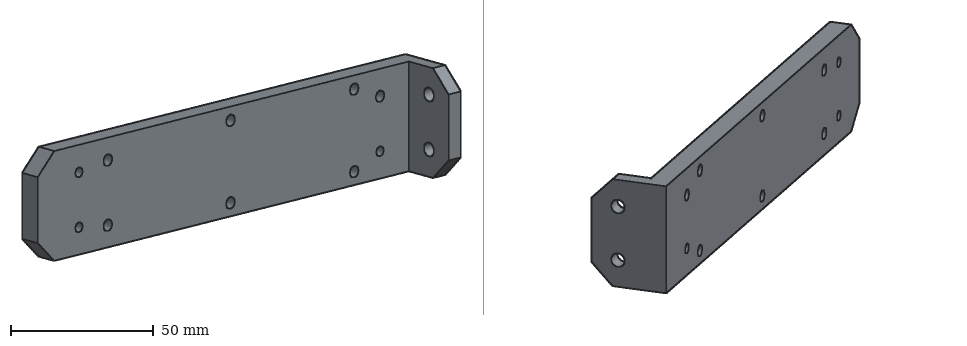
import cadquery as cq

total_width = 28.2
arm_length = 186.0
height = 40.0
arm_thickness = 8.0
foot_thickness = 6.0
corner_chamfer = 8.0

corner_hole_diameter = 3.5
locating_hole_diameter = 4.0
corner_hole_inset = 20.0
corner_hole_spacing = 20.0

mount_hole_diameter = 4.15
mount_center_z = -0.05
back_pair_inset = 32.5
middle_pair_inset = 92.5
front_pair_inset = 152.0
wide_pair_spacing = 30.0
narrow_pair_spacing = 23.7

foot_hole_diameter = 5.0
foot_hole_edge_distance = 10.0
foot_hole_spacing = 20.0


def make_plate(size_x, size_y):
    """Full-height plate with one corner on the Z axis, running forward from the back face."""
    plate = cq.Workplane("XY").box(size_x, size_y, height, centered=(False, False, True))
    return plate.translate((0, -size_y, 0))


def make_arm():
    """Long flat arm with both corners of its free end bevelled."""
    return make_plate(arm_thickness, arm_length).faces("<Y").edges("|X").chamfer(corner_chamfer)


def make_foot():
    """Short foot across the back end, with both outer corners bevelled."""
    return make_plate(total_width, foot_thickness).faces(">X").edges("|Y").chamfer(corner_chamfer)


def vertical_pair(position, spacing, center_z=0.0):
    """Two points one above the other: the upper one first."""
    return [(position, center_z + spacing / 2), (position, center_z - spacing / 2)]


def arm_holes(diameter, points):
    """Cutters through the arm at (Y, Z) points."""
    return cq.Workplane("YZ").pushPoints(points).circle(diameter / 2).extrude(arm_thickness)


def foot_holes(diameter, points):
    """Cutters through the foot at (X, Z) points, running from the back face toward -Y."""
    return cq.Workplane("XZ").pushPoints(points).circle(diameter / 2).extrude(foot_thickness)


upper_back, lower_back = vertical_pair(-corner_hole_inset, corner_hole_spacing)
front_corners = vertical_pair(corner_hole_inset - arm_length, corner_hole_spacing)

mount_points = (
    vertical_pair(-back_pair_inset, wide_pair_spacing, mount_center_z)
    + vertical_pair(-middle_pair_inset, wide_pair_spacing, mount_center_z)
    + vertical_pair(-front_pair_inset, narrow_pair_spacing, mount_center_z)
)

foot_points = vertical_pair(total_width - foot_hole_edge_distance, foot_hole_spacing)

bracket = make_arm().union(make_foot())
bracket = bracket.cut(arm_holes(locating_hole_diameter, [upper_back]))
bracket = bracket.cut(arm_holes(corner_hole_diameter, [lower_back] + front_corners))
bracket = bracket.cut(arm_holes(mount_hole_diameter, mount_points))
bracket = bracket.cut(foot_holes(foot_hole_diameter, foot_points))

result = bracket